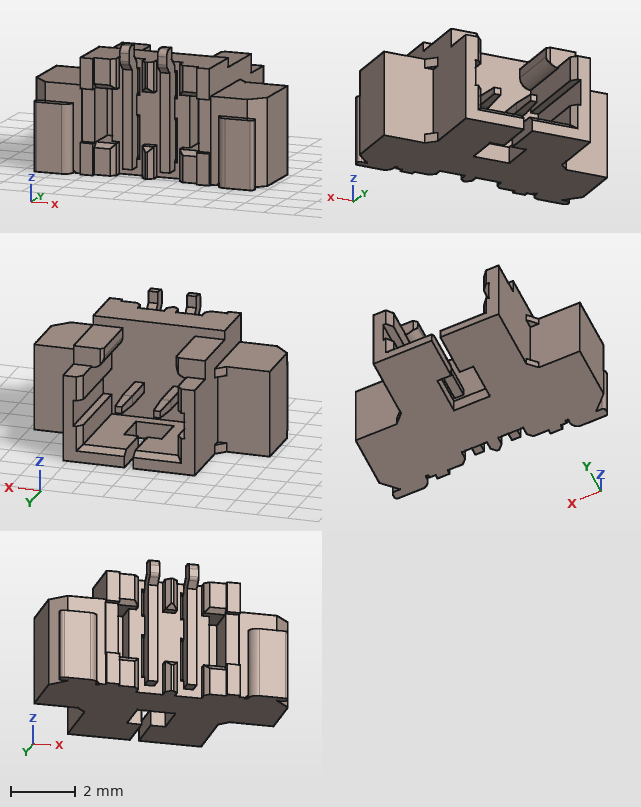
import cadquery as cq
import math


mouth_y = 2.39
body_half_width = 2.135
wall_top = 2.81
wall_step_y = 1.34
shelf_top = 3.41
roof_front_y = -0.61
roof_top = 3.7
body_back_y = -2.11

cavity_half_width = 1.54
floor_top = 0.535
shelf_half_gap = 1.17
shelf_corner_chamfer = 0.1
shelf_round = cavity_half_width - shelf_half_gap
shelf_round_bottom = 2.77
mouth_flare_side = 0.17
mouth_flare_depth = 0.2
groove_half_width = 1.805
groove_bottom = 1.18
groove_top = 2.02
window_half_width = 0.61
window_back_y = -0.215
window_front_y = 0.98
slot_half_width = 0.145

rear_wall_y = -1.7
lug_back_y = -2.25
lug_inner_x = 1.72
lower_top = 1.01
upper_bottom = 2.72
bay_half_width = 1.05
rib_half_width = 0.19
rear_chamfer = 0.15
pocket_inner_x = 1.285
pocket_front_y = -0.995
column_recess = 0.045
column_y = body_back_y + column_recess

contact_pitch = 1.25
contact_x = contact_pitch / 2
contact_width = 0.305
stem_back_y = body_back_y
stem_front_y = -1.53
stem_bottom = 0.26
foot_back_y = -2.365
foot_front_y = -1.935
foot_top = 4.2
foot_round = 0.21
heel_round = 0.17
heel_z = 3.74
foot_slope_top = 3.825
blade_z = 1.53
blade_taper_y = 0.59
blade_tip_y = 1.5
blade_tip_width = 0.215
lead_in_width = 0.48
lead_in_depth = 0.09
lead_in_spans = ((0.51, 1.91), (2.53, 3.41))

wing_half_width = 3.825
wing_front_y = 0.09
wing_chamfer = 0.48
gusset_size = 0.29

nail_inner_x = 2.425
nail_outer_x = 3.63
nail_back_y = -2.39
nail_top = 2.21
nail_inner_round = body_back_y - nail_back_y
nail_outer_round = 0.1
nail_relief = 0.09


def block(x0, x1, y0, y1, z0, z1):
    """Box between opposite corners."""
    return cq.Workplane("XY").box(x1 - x0, y1 - y0, z1 - z0, centered=False).translate((x0, y0, z0))


def both_sides(solid):
    """The solid together with its mirror image across x = 0."""
    return solid.union(solid.mirror("YZ"))


def prism_along_y(points, y0, y1):
    """Outline in X and Z, extruded from y0 to y1."""
    return cq.Workplane("XZ", origin=(0, y0, 0)).polyline(points).close().extrude(y0 - y1)


def body_shell():
    """Stepped block: roof at the rear, shelf in the middle, low walls at the mouth."""
    profile = [
        (body_back_y, 0),
        (mouth_y, 0),
        (mouth_y, wall_top),
        (wall_step_y, wall_top),
        (wall_step_y, shelf_top),
        (roof_front_y, shelf_top),
        (roof_front_y, roof_top),
        (body_back_y, roof_top),
    ]
    return cq.Workplane("YZ").polyline(profile).close().extrude(body_half_width, both=True)


def cavity():
    """Space open at the mouth and the top, narrowing between the overhanging shelves."""
    length = mouth_y - roof_front_y
    arc_shift = shelf_round * (1 - math.sqrt(0.5))
    shelf_round_top = shelf_round_bottom + shelf_round
    half = (
        cq.Workplane("XZ", origin=(0, roof_front_y, 0))
        .moveTo(0, floor_top)
        .lineTo(cavity_half_width, floor_top)
        .lineTo(cavity_half_width, shelf_round_bottom)
        .threePointArc(
            (shelf_half_gap + arc_shift, shelf_round_bottom + arc_shift),
            (shelf_half_gap, shelf_round_top),
        )
        .lineTo(shelf_half_gap, roof_top)
        .lineTo(0, roof_top)
        .close()
        .extrude(-length)
    )
    corner = (
        cq.Workplane("XY")
        .polyline([
            (shelf_half_gap, wall_step_y),
            (shelf_half_gap + shelf_corner_chamfer, wall_step_y),
            (shelf_half_gap, wall_step_y - shelf_corner_chamfer),
        ])
        .close()
        .extrude(shelf_top - wall_top)
        .translate((0, 0, wall_top))
    )
    groove = block(0, groove_half_width, roof_front_y, mouth_y, groove_bottom, groove_top)
    mouth = block(0, cavity_half_width, wall_step_y, mouth_y, floor_top, wall_top)
    return both_sides(half.union(corner).union(groove).union(mouth))


def mouth_flare():
    """Bevel around the floor and sides of the mouth."""
    height = wall_top - floor_top
    flare_width = 2 * (cavity_half_width + mouth_flare_side)
    return (
        cq.Workplane("XZ", origin=(0, mouth_y - mouth_flare_depth, floor_top + height / 2))
        .rect(2 * cavity_half_width, height)
        .workplane(offset=-mouth_flare_depth)
        .rect(flare_width, height + 2 * mouth_flare_side)
        .loft()
    )


def floor_openings():
    """T-shaped opening through the cavity floor."""
    window = block(-window_half_width, window_half_width, window_back_y, window_front_y, 0, floor_top)
    slot = block(-slot_half_width, slot_half_width, window_front_y, mouth_y, 0, floor_top)
    return window.union(slot)


def contact_bays():
    """Recess behind each contact, with chamfered corners toward the centre rib and the outer blocks."""
    chamfer_y = body_back_y + rear_chamfer
    outline = [
        (rib_half_width, rear_wall_y),
        (bay_half_width, rear_wall_y),
        (bay_half_width, chamfer_y),
        (bay_half_width + rear_chamfer, body_back_y),
        (rib_half_width - rear_chamfer, body_back_y),
        (rib_half_width, chamfer_y),
    ]
    return both_sides(cq.Workplane("XY").polyline(outline).close().extrude(roof_top))


def rear_waist():
    """Space between the lower and upper rear blocks, flaring where it meets their faces."""
    waist = [
        (rear_wall_y, lower_top),
        (body_back_y + rear_chamfer, lower_top),
        (body_back_y, lower_top - rear_chamfer),
        (body_back_y, upper_bottom + rear_chamfer),
        (body_back_y + rear_chamfer, upper_bottom),
        (rear_wall_y, upper_bottom),
    ]
    middle = cq.Workplane("YZ").polyline(waist).close().extrude(lug_inner_x, both=True)
    pocket = block(pocket_inner_x, lug_inner_x, rear_wall_y, pocket_front_y, lower_top, upper_bottom)
    column = block(lug_inner_x, body_half_width, body_back_y, column_y, lower_top, upper_bottom)
    return middle.union(both_sides(pocket.union(column)))


def lugs():
    """Standoff lugs at the outer rear corners, above and below the waist."""
    lower = block(lug_inner_x, body_half_width, lug_back_y, body_back_y, 0, lower_top)
    upper = block(lug_inner_x, body_half_width, lug_back_y, body_back_y, upper_bottom, roof_top)
    return both_sides(lower.union(upper))


def lead_in(x, z0, z1):
    """Bevelled recess in the rear wall around one leg of a contact."""
    height = z1 - z0
    return (
        cq.Workplane("XZ", origin=(x, rear_wall_y, (z0 + z1) / 2))
        .rect(lead_in_width, height)
        .workplane(offset=-lead_in_depth)
        .rect(lead_in_width - 2 * lead_in_depth, height - 2 * lead_in_depth)
        .loft()
    )


def wings():
    """Side wings with a chamfered rear corner and two gussets against the body."""
    outline = [
        (body_half_width, wing_front_y),
        (wing_half_width, wing_front_y),
        (wing_half_width, body_back_y + wing_chamfer),
        (wing_half_width - wing_chamfer, body_back_y),
        (body_half_width, body_back_y),
    ]
    gusset = [
        (body_half_width, wing_front_y),
        (body_half_width + gusset_size, wing_front_y),
        (body_half_width, wing_front_y + gusset_size),
    ]
    wing = cq.Workplane("XY").polyline(outline).close().extrude(wall_top)
    for z in (0, wall_top - gusset_size):
        wing = wing.union(cq.Workplane("XY", origin=(0, 0, z)).polyline(gusset).close().extrude(gusset_size))
    relief = [
        (nail_inner_x - nail_relief, 0),
        (nail_inner_x, nail_relief),
        (nail_inner_x, 0),
    ]
    wing = wing.cut(prism_along_y(relief, body_back_y, body_back_y + nail_relief))
    return both_sides(wing)


def nails():
    """Solder nail plates on the rear of the wings."""
    plate = (
        cq.Workplane("XY")
        .moveTo(nail_inner_x, body_back_y)
        .radiusArc((nail_inner_x + nail_inner_round, nail_back_y), -nail_inner_round)
        .lineTo(nail_outer_x, nail_back_y)
        .lineTo(nail_outer_x, body_back_y)
        .close()
        .extrude(nail_top)
    )
    return both_sides(plate.edges("|Z and >X").fillet(nail_outer_round))


def contact(x):
    """Stem with a soldering foot on top and a tapered mating blade."""
    heel_end_y = foot_back_y + heel_round * (1 - math.sqrt(0.5))
    heel_end_z = heel_z - heel_round * math.sqrt(0.5)
    undercut_bottom = heel_end_z - (stem_back_y - heel_end_y)
    slope_bottom = foot_slope_top - (stem_front_y - foot_front_y)
    stem = (
        cq.Workplane("YZ", origin=(x, 0, 0))
        .moveTo(stem_back_y, stem_bottom)
        .lineTo(stem_back_y, undercut_bottom)
        .lineTo(heel_end_y, heel_end_z)
        .radiusArc((foot_back_y, heel_z), heel_round)
        .lineTo(foot_back_y, foot_top - foot_round)
        .radiusArc((foot_back_y + foot_round, foot_top), foot_round)
        .lineTo(foot_front_y, foot_top)
        .lineTo(foot_front_y, foot_slope_top)
        .lineTo(stem_front_y, slope_bottom)
        .lineTo(stem_front_y, stem_bottom)
        .close()
        .extrude(contact_width / 2, both=True)
    )
    half = contact_width / 2
    shank = block(x - half, x + half, stem_front_y, blade_taper_y, blade_z - half, blade_z + half)
    taper = (
        cq.Workplane("XZ", origin=(x, blade_taper_y, blade_z))
        .rect(contact_width, contact_width)
        .workplane(offset=blade_taper_y - blade_tip_y)
        .rect(blade_tip_width, blade_tip_width)
        .loft()
    )
    return stem.union(shank).union(taper)


result = body_shell().cut(cavity()).cut(mouth_flare()).cut(floor_openings())
result = result.cut(contact_bays()).cut(rear_waist()).union(lugs())
for pin_x in (-contact_x, contact_x):
    for bottom, top in lead_in_spans:
        result = result.cut(lead_in(pin_x, bottom, top))
result = result.union(wings()).union(nails())
for pin_x in (-contact_x, contact_x):
    result = result.union(contact(pin_x))